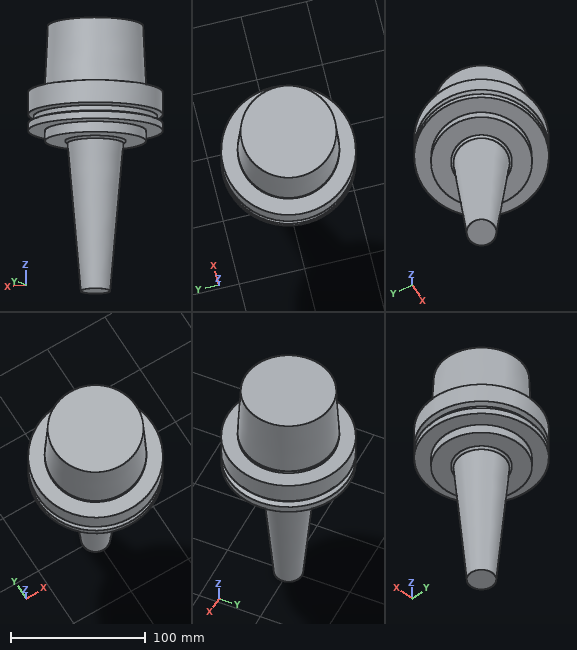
import cadquery as cq

flange_radius = 100 / 2
groove_radius = 92 / 2
hub_radius = 75.0 / 2
neck_radius = hub_radius
taper_base_radius = 75.8 / 2
taper_top_radius = 71.0 / 2
nose_top_radius = 20.8
nose_tip_radius = 11.0

total_height = 200
flange_top = 150
flange_height = 29.0
flange_bottom = flange_top - flange_height
hub_height = 7.8
hub_bottom = flange_bottom - hub_height
neck_height = 2.5
neck_top = flange_top + neck_height

groove_center = 129.8
groove_mouth_width = 6.8
groove_floor_width = 3.8

transition_size = 1.8

profile = [
    (0, 0),
    (nose_tip_radius, 0),
    (nose_top_radius, hub_bottom - transition_size),
    (nose_top_radius + transition_size, hub_bottom),
    (hub_radius, hub_bottom),
    (hub_radius, flange_bottom),
    (flange_radius, flange_bottom),
    (flange_radius, groove_center - groove_mouth_width / 2),
    (groove_radius, groove_center - groove_floor_width / 2),
    (groove_radius, groove_center + groove_floor_width / 2),
    (flange_radius, groove_center + groove_mouth_width / 2),
    (flange_radius, flange_top),
    (neck_radius, flange_top),
    (neck_radius, neck_top),
    (taper_base_radius, neck_top),
    (taper_top_radius, total_height),
    (0, total_height),
]

result = cq.Workplane("XZ").polyline(profile).close().revolve(360, (0, 0, 0), (0, 1, 0))